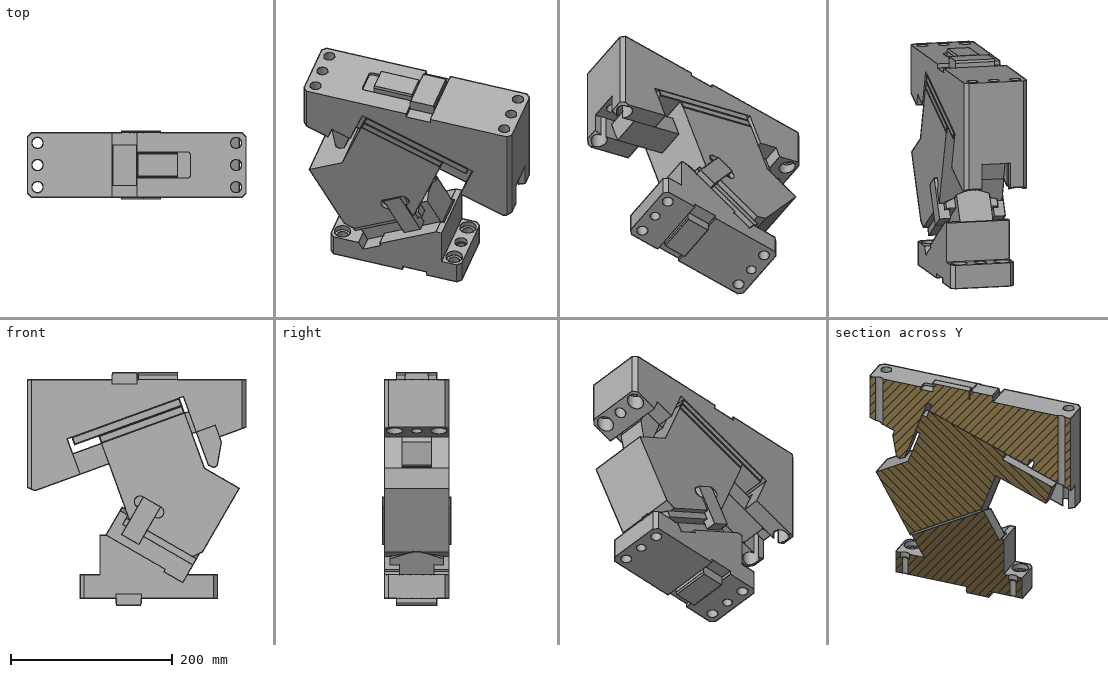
import cadquery as cq
from math import sin, cos, tan, radians

UNIT_WIDTH = 80.0
HOLDER_TOP = 270.0
CORNER_CHAMFER = 5.0
HOLE_INSET = 12.5
HOLE_PITCH = 27.3
BOLT_HOLE = 13.5
BOLT_HEAD = 20.0

KEY_LENGTH = 31.2
KEY_WIDTH = 50.0
KEY_PROUD = 8.6
KEY_RECESS = 5.2
KEY_CHAMFER_SIDE = 1.0
KEY_CHAMFER_HEIGHT = 3.0

GUIDE_ANGLE = 20.0
GUIDE_X, GUIDE_Z = 67.5, 249.1
MOUTH_LENGTH = 152.5
UPPER_PLATE = 10.0
LOWER_PLATE = 9.6
PLATE_CHAMFER = 0.8
UPPER_PLATE_GAP_RIGHT = 5.5
UPPER_PLATE_LENGTH = 141.0
SLIDE_LENGTH = 109.0
SLIDE_GAP_RIGHT = 5.6
TONGUE_WIDTH = 36.0
TONGUE_TOP = UPPER_PLATE + LOWER_PLATE
TONGUE_BOTTOM = 46.6
TONGUE_REACH = 33.5

SEAT_ANGLE = 30.0
SEAT_X, SEAT_Z = -28.0, 78.2
DRIVER_LENGTH = 111.5
WING_TOP = 30.4
SEAT_STEP = 3.5


def guide_point(along, depth):
    """X, Z of a point given along the guide and square below the mouth's ceiling."""
    a = radians(GUIDE_ANGLE)
    return (GUIDE_X + along * cos(a) + depth * sin(a), GUIDE_Z + along * sin(a) - depth * cos(a))


def seat_point(along, height):
    """X, Z of a point given along the driver's seat and square above it."""
    a = radians(SEAT_ANGLE)
    return (SEAT_X + along * cos(a) + height * sin(a), SEAT_Z - along * sin(a) + height * cos(a))


def depth_at_seat_height(along, height):
    """Guide depth at which a line square to the guide reaches a height above the seat."""
    a = radians(SEAT_ANGLE)
    x, z = guide_point(along, 0)
    start_height = (x - SEAT_X) * sin(a) + (z - SEAT_Z) * cos(a)
    return (start_height - height) / cos(radians(GUIDE_ANGLE + SEAT_ANGLE))


def slab(points, width=UNIT_WIDTH):
    """Extrude an X-Z outline evenly to both sides of the middle plane."""
    return cq.Workplane("XZ").polyline(points).close().extrude(width / 2, both=True)


def guide_bar(start, end, top, bottom, width=UNIT_WIDTH):
    """Bar that runs along the guide between two stations and two depths."""
    corners = [(start, top), (end, top), (end, bottom), (start, bottom)]
    return slab([guide_point(*corner) for corner in corners], width)


def wear_plate(start, end, top, bottom):
    """Sliding plate with its long side faces chamfered all round."""
    return guide_bar(start, end, top, bottom).faces("<Y or >Y").chamfer(PLATE_CHAMFER)


def along_seat(section, start, end):
    """Extrude a (Y, height) section along the seat direction."""
    a = radians(SEAT_ANGLE)
    x, z = seat_point(start, 0)
    plane = cq.Plane(origin=(x, 0, z), xDir=(0, 1, 0), normal=(cos(a), 0, -sin(a)))
    return cq.Workplane(plane).polyline(section).close().extrude(end - start)


def seat_block(start, end, bottom, top, inner, outer, side):
    """Block on one side (side is +1 or -1 along Y), given in the seat frame."""
    section = [(side * inner, bottom), (side * outer, bottom), (side * outer, top), (side * inner, top)]
    return along_seat(section, start, end)


def locating_key(center_x, face_z, outward):
    """Key seated in a mounting face, its two outer long edges chamfered; outward is +1 or -1."""
    half = KEY_LENGTH / 2
    root = face_z - outward * KEY_RECESS
    tip = face_z + outward * KEY_PROUD
    shoulder = tip - outward * KEY_CHAMFER_HEIGHT
    tip_half = half - KEY_CHAMFER_SIDE
    return slab([
        (center_x - half, root), (center_x - half, shoulder), (center_x - tip_half, tip),
        (center_x + tip_half, tip), (center_x + half, shoulder), (center_x + half, root),
    ], KEY_WIDTH)


def key_slot(center_x, face_z):
    """Slot across a mounting face for its key."""
    return cq.Workplane("XY").box(KEY_LENGTH, UNIT_WIDTH, 2 * KEY_RECESS).translate((center_x, 0, face_z))


def upright_bore(x, y, bottom, top, diameter):
    """Vertical cylinder used to cut holes and counterbores."""
    return cq.Workplane("XY", origin=(x, y, bottom)).circle(diameter / 2).extrude(top - bottom)


RIDGE_HALF = 21.0
WING_HALF = 33.0
CREST_HALF = 7.0
ROOF_ANGLE = 20.0


def roof_height(y):
    """Height of the ridge roof above the seat at a distance from the middle."""
    return WING_TOP + (WING_HALF - max(y, CREST_HALF)) * tan(radians(ROOF_ANGLE))


def roof_section(half, bottom):
    """Section bounded by the roof, upright sides and a flat bottom."""
    return [
        (-half, bottom), (-half, roof_height(half)), (-CREST_HALF, roof_height(0)),
        (CREST_HALF, roof_height(0)), (half, roof_height(half)), (half, bottom),
    ]


HOLDER_LEFT, HOLDER_RIGHT = -125.0, 145.0
HOLDER_KEY_X = -5.0
LEFT_LEG_END = 137.0
LEFT_LEG_TOE = 9.4
RIGHT_DEPTH = 62.0
CLAMP_LENGTH = 45.0
HEAD_SEAT = HOLDER_TOP - CLAMP_LENGTH
SLOT_CEILING = 11.0

HOOK_LENGTH = 25.0
HOOK_SHOULDER = 69.0
HOOK_TIP = 95.0
HOOK_TIP_LENGTH = 8.5
HOOK_TIP_CHAMFER = 5.0
HOOK_BEVEL_ALONG = 2.0
HOOK_BEVEL_DEPTH = 1.0

STOP_START, STOP_END = 11.6, 60.6
STOP_WIDTH = 29.2
STOP_POCKET_END = 76.3
STOP_POCKET_WIDTH = 32.0
STOP_POCKET_DEPTH = 3.4
STOP_POCKET_RADIUS = 3.5


def guide_along(x, depth):
    """Guide station of the point with a given X at a given depth."""
    return (x - guide_point(0, depth)[0]) / cos(radians(GUIDE_ANGLE))


def holder_body():
    toe_x = HOLDER_LEFT + LEFT_LEG_TOE
    outline = [
        (HOLDER_LEFT, HOLDER_TOP),
        (HOLDER_LEFT, LEFT_LEG_END),
        guide_point(guide_along(toe_x, TONGUE_BOTTOM), TONGUE_BOTTOM),
        guide_point(-MOUTH_LENGTH, TONGUE_BOTTOM),
        guide_point(-MOUTH_LENGTH, 0),
        guide_point(0, 0),
        guide_point(0, TONGUE_BOTTOM),
        guide_point(HOOK_LENGTH, TONGUE_BOTTOM),
        guide_point(HOOK_LENGTH, RIGHT_DEPTH),
        guide_point(guide_along(HOLDER_RIGHT, RIGHT_DEPTH), RIGHT_DEPTH),
        (HOLDER_RIGHT, HOLDER_TOP),
    ]
    body = slab(outline)
    return body.faces("<X or >X").edges("|Z").chamfer(CORNER_CHAMFER)


def hook():
    """Safety hook that hangs below the right side of the mouth."""
    return slab([
        guide_point(0, TONGUE_BOTTOM),
        guide_point(HOOK_LENGTH, TONGUE_BOTTOM),
        guide_point(HOOK_LENGTH, HOOK_SHOULDER),
        guide_point(HOOK_TIP_LENGTH + HOOK_BEVEL_ALONG, HOOK_TIP - HOOK_BEVEL_DEPTH),
        guide_point(HOOK_TIP_LENGTH, HOOK_TIP),
        guide_point(HOOK_TIP_CHAMFER, HOOK_TIP),
        guide_point(0, HOOK_TIP - HOOK_TIP_CHAMFER),
    ], TONGUE_WIDTH)


def make_holder():
    body = holder_body().union(hook())
    body = body.union(wear_plate(-UPPER_PLATE_GAP_RIGHT - UPPER_PLATE_LENGTH, -UPPER_PLATE_GAP_RIGHT,
                                 0, UPPER_PLATE))

    slot_start = guide_along(HOLDER_LEFT, 0) - MOUTH_LENGTH
    body = body.cut(guide_bar(slot_start, -MOUTH_LENGTH, SLOT_CEILING, HOLDER_TOP, TONGUE_WIDTH))

    for x in (HOLDER_LEFT + HOLE_INSET, HOLDER_RIGHT - HOLE_INSET):
        for y in (-HOLE_PITCH, 0, HOLE_PITCH):
            body = body.cut(upright_bore(x, y, 0, HOLDER_TOP, BOLT_HOLE))
            if y:
                body = body.cut(upright_bore(x, y, 0, HEAD_SEAT, BOLT_HEAD))

    pocket_length = STOP_POCKET_END - HOLDER_KEY_X
    pocket = (
        cq.Workplane("XY")
        .box(pocket_length, STOP_POCKET_WIDTH, 2 * STOP_POCKET_DEPTH)
        .edges("|Z and >X").fillet(STOP_POCKET_RADIUS)
        .translate((HOLDER_KEY_X + pocket_length / 2, 0, HOLDER_TOP))
    )
    root = HOLDER_TOP - STOP_POCKET_DEPTH
    tip = HOLDER_TOP + KEY_PROUD
    half = STOP_WIDTH / 2
    stop = (
        cq.Workplane("YZ", origin=(STOP_START, 0, 0))
        .polyline([
            (-half, root), (-half, tip - KEY_CHAMFER_HEIGHT), (-half + KEY_CHAMFER_SIDE, tip),
            (half - KEY_CHAMFER_SIDE, tip), (half, tip - KEY_CHAMFER_HEIGHT), (half, root),
        ]).close()
        .extrude(STOP_END - STOP_START)
    )
    body = body.cut(pocket).cut(key_slot(HOLDER_KEY_X, HOLDER_TOP))
    return body.union(stop).union(locating_key(HOLDER_KEY_X, HOLDER_TOP, 1))


SLIDE_NOSE = 113.7
SLIDE_SHOULDER = 132.3
NOSE_CHAMFER_ALONG = 8.0
NOSE_CHAMFER_HEIGHT = 11.0
CREST_GROOVE_HALF = 5.0
CREST_GROOVE_DEPTH = 2.6

RETAINER_START, RETAINER_END = 16.5, 41.0
RETAINER_BOTTOM, RETAINER_TOP = 10.2, 63.7
RETAINER_INNER = 34.0
RETAINER_OUTER = 42.0
LIP_INNER = 28.0
WING_BOTTOM = 21.7
RELIEF_LENGTH = 40.0
RELIEF_WIDTH = 14.2


def retainer_relief(side):
    """Round-ended pocket in one side of the slide."""
    center = seat_point((RETAINER_START + RETAINER_END) / 2, RETAINER_TOP - RELIEF_WIDTH / 2)
    depth = UNIT_WIDTH / 2 - RETAINER_INNER
    return (
        cq.Workplane("XZ")
        .slot2D(RELIEF_LENGTH, RELIEF_WIDTH, -SEAT_ANGLE)
        .extrude(depth / 2, both=True)
        .translate((center[0], side * (RETAINER_INNER + depth / 2), center[1]))
    )


def make_slide():
    left = -SLIDE_GAP_RIGHT - SLIDE_LENGTH
    right = -SLIDE_GAP_RIGHT
    body = slab([
        guide_point(left, TONGUE_TOP),
        guide_point(right, TONGUE_TOP),
        guide_point(right, depth_at_seat_height(right, SLIDE_SHOULDER)),
        seat_point(SLIDE_NOSE, SLIDE_SHOULDER),
        seat_point(SLIDE_NOSE, WING_TOP + NOSE_CHAMFER_HEIGHT),
        seat_point(SLIDE_NOSE - NOSE_CHAMFER_ALONG, WING_TOP),
        guide_point(left, depth_at_seat_height(left, WING_TOP)),
    ])
    body = body.union(wear_plate(left, right, UPPER_PLATE, TONGUE_TOP))

    channel_start, channel_end = -DRIVER_LENGTH, 2 * DRIVER_LENGTH
    groove_top = roof_height(0) + CREST_GROOVE_DEPTH
    body = body.cut(along_seat(roof_section(WING_HALF, 0), channel_start, channel_end))
    for side in (-1, 1):
        body = body.cut(seat_block(channel_start, channel_end, 0, groove_top, 0, CREST_GROOVE_HALF, side))

    body = body.union(guide_bar(-MOUTH_LENGTH - TONGUE_REACH, 0, TONGUE_TOP, TONGUE_BOTTOM, TONGUE_WIDTH))

    for side in (-1, 1):
        plate = seat_block(RETAINER_START, RETAINER_END, RETAINER_BOTTOM, RETAINER_TOP,
                           RETAINER_INNER, RETAINER_OUTER, side)
        lip = seat_block(RETAINER_START, RETAINER_END, RETAINER_BOTTOM, WING_BOTTOM,
                         LIP_INNER, RETAINER_INNER, side)
        body = body.cut(retainer_relief(side)).union(plate).union(lip)
    return body


DRIVER_LEFT, DRIVER_RIGHT = -60.0, 110.0
DRIVER_PLATE = 29.3
PEDESTAL_LEFT = -35.4
SEAT_STEP_START = 84.5
WING_START = 11.3
RIDGE_CLEARANCE = 4.0
RIDGE_CLEARANCE_DEPTH = 2.5
HEAD_DEPTH = 7.0
DOWEL_ENTRY = 15.0
DOWEL_HOLE = 12.0


def make_driver():
    wall_height = (DRIVER_PLATE - seat_point(DRIVER_LENGTH, 0)[1]) / cos(radians(SEAT_ANGLE))
    body = slab([
        (DRIVER_LEFT, 0),
        (DRIVER_RIGHT, 0),
        (DRIVER_RIGHT, DRIVER_PLATE),
        seat_point(DRIVER_LENGTH, wall_height),
        seat_point(DRIVER_LENGTH, -SEAT_STEP),
        seat_point(SEAT_STEP_START, -SEAT_STEP),
        seat_point(SEAT_STEP_START, 0),
        (SEAT_X, SEAT_Z),
        (PEDESTAL_LEFT, SEAT_Z),
        (PEDESTAL_LEFT, DRIVER_PLATE),
        (DRIVER_LEFT, DRIVER_PLATE),
    ])
    body = body.faces("<X or >X").edges("|Z").chamfer(CORNER_CHAMFER)

    for x in (DRIVER_LEFT + HOLE_INSET, DRIVER_RIGHT - HOLE_INSET):
        for y in (-HOLE_PITCH, 0, HOLE_PITCH):
            entry, hole = (BOLT_HEAD, BOLT_HOLE) if y else (DOWEL_ENTRY, DOWEL_HOLE)
            body = body.cut(upright_bore(x, y, 0, DRIVER_PLATE, hole))
            body = body.cut(upright_bore(x, y, DRIVER_PLATE - HEAD_DEPTH, DRIVER_PLATE, entry))

    pocket = slab([
        (SEAT_X - RIDGE_CLEARANCE, SEAT_Z - RIDGE_CLEARANCE_DEPTH),
        (SEAT_X - RIDGE_CLEARANCE, SEAT_Z),
        (SEAT_X, SEAT_Z),
        (SEAT_X, SEAT_Z - RIDGE_CLEARANCE_DEPTH),
    ], 2 * RIDGE_HALF)
    body = body.cut(pocket)

    body = body.union(along_seat(roof_section(RIDGE_HALF, -SEAT_STEP), 0, DRIVER_LENGTH))
    body = body.union(along_seat(roof_section(WING_HALF, WING_BOTTOM), WING_START, DRIVER_LENGTH))

    return body.cut(key_slot(0, 0)).union(locating_key(0, 0, -1))


holder = make_holder()
slide = make_slide()
driver = make_driver()

result = cq.Compound.makeCompound([holder.solids().val(), slide.solids().val(), driver.solids().val()])